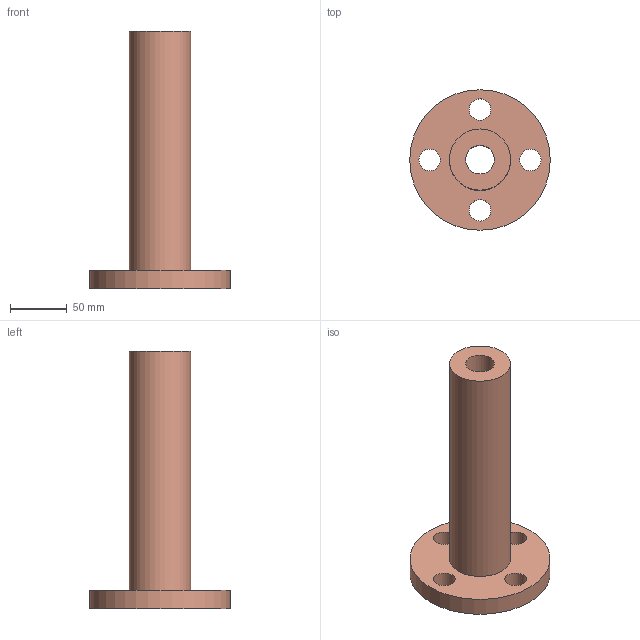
import cadquery as cq

FLANGE_DIAMETER = 124.0
FLANGE_THICKNESS = 16.0
OVERALL_HEIGHT = 227.01
NECK_DIAMETER = 54.0
BORE_DIAMETER = 25.4
BOLT_CIRCLE_DIAMETER = 88.9
BOLT_HOLE_DIAMETER = 19.05
BOLT_HOLE_COUNT = 4


def make_flange():
    """Plain disc with its lower face on Z = 0."""
    return cq.Workplane("XY").circle(FLANGE_DIAMETER / 2).extrude(FLANGE_THICKNESS)


def add_neck(body):
    """Long straight neck standing on the flange."""
    neck_height = OVERALL_HEIGHT - FLANGE_THICKNESS
    return body.faces(">Z").workplane().circle(NECK_DIAMETER / 2).extrude(neck_height)


def cut_bore(body):
    """Straight bore through neck and flange."""
    bore = cq.Workplane("XY").circle(BORE_DIAMETER / 2).extrude(OVERALL_HEIGHT)
    return body.cut(bore)


def cut_bolt_holes(body):
    """Evenly spaced through holes on the X and Y axes of the flange."""
    bolt_holes = (
        cq.Workplane("XY")
        .polarArray(radius=BOLT_CIRCLE_DIAMETER / 2, startAngle=0, angle=360, count=BOLT_HOLE_COUNT)
        .circle(BOLT_HOLE_DIAMETER / 2)
        .extrude(FLANGE_THICKNESS)
    )
    return body.cut(bolt_holes)


result = cut_bolt_holes(cut_bore(add_neck(make_flange())))